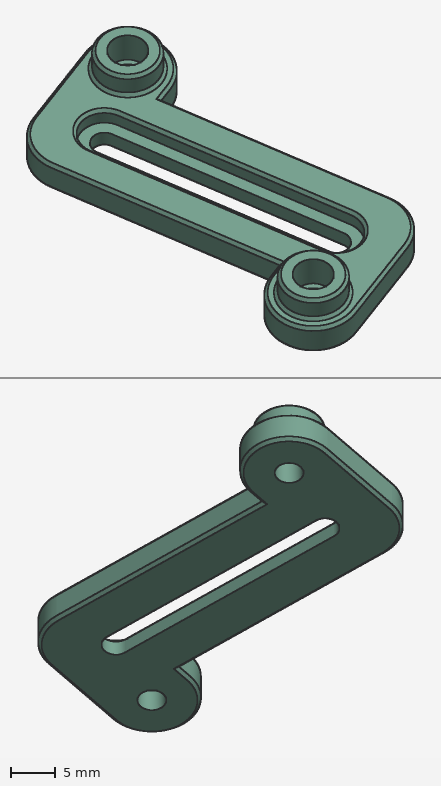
import cadquery as cq

length = 46.0
width = 30.0
body_width = width / 2
plate_thickness = 4.0
total_height = 7.0
boss_spacing_x = 35.0
corner_radius = (length - boss_spacing_x) / 2
edge_chamfer = 0.4

boss_diameter = 8.0
boss_x = boss_spacing_x / 2
boss_y = width / 2 - corner_radius
boss_centres = [(-boss_x, boss_y), (boss_x, -boss_y)]
screw_hole_diameter = 3.2
counterbore_diameter = 4.6
counterbore_depth = 4.0

slot_centre_distance = 30.0
slot_width = 3.2
recess_width = 6.2
recess_depth = plate_thickness / 2


def make_plate():
    """Z-shaped plate with two round-ended ears and two rounded corners."""
    half_length = length / 2
    half_body = body_width / 2
    ear_side = half_length - 2 * corner_radius
    outline = (
        cq.Workplane("XY")
        .moveTo(-half_length, boss_y)
        .threePointArc((-boss_x, width / 2), (-ear_side, boss_y))
        .lineTo(-ear_side, half_body)
        .lineTo(boss_x, half_body)
        .radiusArc((half_length, half_body - corner_radius), corner_radius)
        .lineTo(half_length, -boss_y)
        .threePointArc((boss_x, -width / 2), (ear_side, -boss_y))
        .lineTo(ear_side, -half_body)
        .lineTo(-boss_x, -half_body)
        .radiusArc((-half_length, corner_radius - half_body), corner_radius)
        .close()
    )
    plate = outline.extrude(plate_thickness)
    return plate.faces("<Z or >Z").edges().chamfer(edge_chamfer)


def slot_cutter(cut_width, bottom, top):
    """Round-ended bar spanning the slot centres between two heights."""
    return (
        cq.Workplane("XY", origin=(0, 0, bottom))
        .slot2D(slot_centre_distance + cut_width, cut_width)
        .extrude(top - bottom)
    )


def make_boss():
    """Round boss on the Z axis with a bevelled rim and a flared foot."""
    radius = boss_diameter / 2
    profile = (
        cq.Workplane("XZ")
        .moveTo(0, plate_thickness)
        .lineTo(radius + edge_chamfer, plate_thickness)
        .lineTo(radius, plate_thickness + edge_chamfer)
        .lineTo(radius, total_height - edge_chamfer)
        .lineTo(radius - edge_chamfer, total_height)
        .lineTo(0, total_height)
        .close()
    )
    return profile.revolve(360, (0, 0, 0), (0, 1, 0))


result = make_plate()

recess_floor = plate_thickness - recess_depth
result = result.cut(slot_cutter(recess_width, recess_floor, plate_thickness))
recess_rim = cq.selectors.BoxSelector(
    (-length / 2 + corner_radius / 2, -recess_width, plate_thickness - edge_chamfer / 2),
    (length / 2 - corner_radius / 2, recess_width, plate_thickness + edge_chamfer / 2),
)
result = result.edges(recess_rim).chamfer(edge_chamfer)
result = result.cut(slot_cutter(slot_width, 0, recess_floor))

for x, y in boss_centres:
    result = result.union(make_boss().translate((x, y, 0)))
result = (
    result.faces(">Z").workplane(origin=(0, 0, total_height))
    .pushPoints(boss_centres)
    .cboreHole(screw_hole_diameter, counterbore_diameter, counterbore_depth)
)